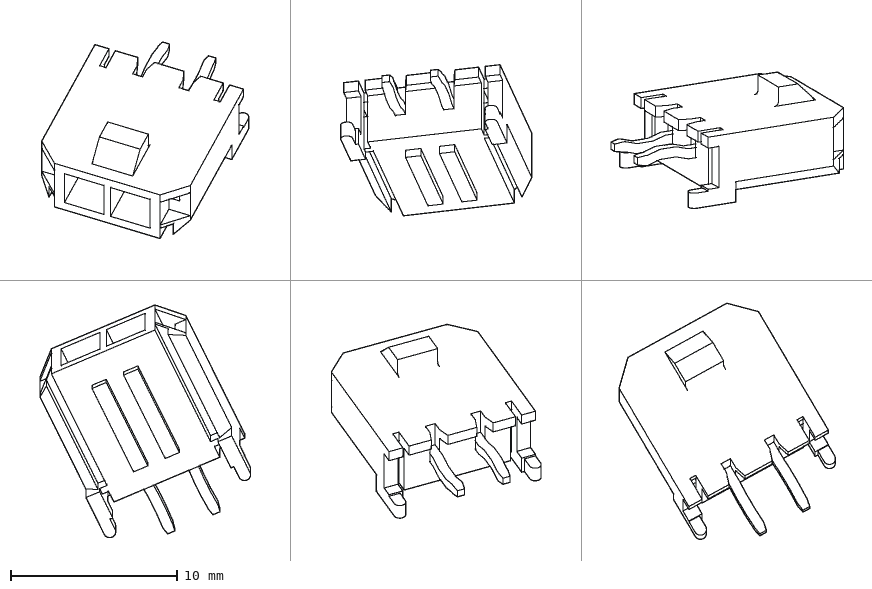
import cadquery as cq
import math


WIDTH = 9.65
HALF_WIDTH = WIDTH / 2
FLOOR_Z = 0.5
TOP_Z = 4.38
REAR_Y = 9.18
FRONT_CHAMFER = 1.4
FACE_HALF_WIDTH = HALF_WIDTH - FRONT_CHAMFER
LIP_END_Y = 9.9
LIP_THICKNESS = 0.69
LIP_Z = TOP_Z - LIP_THICKNESS

SIDE_CHAMFER = 0.8
CHANNEL_OUTER_X = HALF_WIDTH - SIDE_CHAMFER
CHANNEL_TOP_Z = 1.43

POCKET_BOTTOM_Z = 1.7
POCKET_TOP_Z = 3.73
WINDOW_BOTTOM_Z = 2.72
WINDOW_OUTER_X = 4.12

SLOT_INNER_X = 3.5
SLOT_OUTER_X = 3.91
SLOT_START_Y = 8.41

LEG_START_Y = 8.02
LEG_TOP_Z = 1.09
PEG_WIDTH = 0.73
PEG_TOP_Z = 0.97
PEG_END_Y = 11.03

RAIL_WIDTH = 0.94
RAIL_X = 1.05
RAIL_START_Y = 1.7
RAIL_END_Y = 7.69

LATCH_WIDTH = 2.64
LATCH_FRONT_Y = 0.81
LATCH_REAR_Y = 3.32
LATCH_HEIGHT = 1.19
LATCH_FILLET = 0.25

PITCH = 3.0
TERMINAL_XS = (-PITCH / 2, PITCH / 2)
TERMINAL_Z = (FLOOR_Z + TOP_Z) / 2
TERMINAL_SIZE = 0.64
CAVITY_SIZE = 2.56
CAVITY_DEPTH = 7.45
TERMINAL_FRONT_Y = 2.49
TERMINAL_END_Y = 13.08
TIP_SIZE = 0.47
TIP_LENGTH = 0.48

BEND_HEIGHT = 0.25
BEND_START_Y = 9.68
CREST_START_Y = 10.52
CREST_END_Y = 11.6
BEND_END_Y = 12.43

TERMINAL_SLOT_START_Y = 8.54
SLOT_MOUTH_WIDTH = 1.09


def block(x_range, y_range, z_range):
    """Box spanning the given ranges along X, Y and Z."""
    size = [end - start for start, end in (x_range, y_range, z_range)]
    corner = (x_range[0], y_range[0], z_range[0])
    return cq.Workplane("XY").box(*size, centered=False).translate(corner)


def both_sides(shape):
    """The shape on the +X side together with its mirror image on the -X side."""
    return shape.union(shape.mirror("YZ"))


def shell():
    """Main block with chamfered front corners and an overhanging top lip at the rear."""
    body = block((-HALF_WIDTH, HALF_WIDTH), (0, REAR_Y), (FLOOR_Z, TOP_Z))
    body = body.faces("<Y").edges("|Z").chamfer(FRONT_CHAMFER)
    lip = block((-HALF_WIDTH, HALF_WIDTH), (REAR_Y, LIP_END_Y), (LIP_Z, TOP_Z))
    return body.union(lip)


def lower_side_chamfer():
    """Wedge that bevels the lower +X edge from the front as far as the leg."""
    return (
        cq.Workplane("XZ")
        .moveTo(HALF_WIDTH, FLOOR_Z)
        .lineTo(HALF_WIDTH - SIDE_CHAMFER, FLOOR_Z)
        .lineTo(HALF_WIDTH, FLOOR_Z + SIDE_CHAMFER)
        .close()
        .extrude(-LEG_START_Y)
    )


def corner_pocket():
    """Pocket in the +X front corner and the window in its back wall."""
    pocket = block(
        (FACE_HALF_WIDTH, HALF_WIDTH),
        (0, FRONT_CHAMFER),
        (POCKET_BOTTOM_Z, POCKET_TOP_Z),
    )
    window = block(
        (FACE_HALF_WIDTH, WINDOW_OUTER_X),
        (FRONT_CHAMFER, SLOT_START_Y),
        (WINDOW_BOTTOM_Z, POCKET_TOP_Z),
    )
    return pocket.union(window)


def lower_channel():
    """Channel inside the +X side chamfer, running from the front to the leg."""
    return block(
        (FACE_HALF_WIDTH, CHANNEL_OUTER_X),
        (0, LEG_START_Y),
        (FLOOR_Z, CHANNEL_TOP_Z),
    )


def rear_slot():
    """Full-height slot beside the +X leg."""
    return block((SLOT_INNER_X, SLOT_OUTER_X), (SLOT_START_Y, LIP_END_Y), (0, TOP_Z))


def leg():
    """+X leg below the housing with its round-ended peg pointing to the rear."""
    foot = block((SLOT_OUTER_X, HALF_WIDTH), (LEG_START_Y, LIP_END_Y), (0, LEG_TOP_Z))
    radius = PEG_WIDTH / 2
    peg_inner_x = HALF_WIDTH - PEG_WIDTH
    peg = (
        cq.Workplane("XY")
        .moveTo(HALF_WIDTH, REAR_Y)
        .lineTo(HALF_WIDTH, PEG_END_Y - radius)
        .threePointArc((HALF_WIDTH - radius, PEG_END_Y), (peg_inner_x, PEG_END_Y - radius))
        .lineTo(peg_inner_x, REAR_Y)
        .close()
        .extrude(PEG_TOP_Z)
    )
    return foot.union(peg)


def rail():
    """Stand-off rail under the +X half of the floor."""
    half = RAIL_WIDTH / 2
    return block((RAIL_X - half, RAIL_X + half), (RAIL_START_Y, RAIL_END_Y), (0, FLOOR_Z))


def latch():
    """45 degree latch ramp with a concave fillet at the foot of its rear wall."""
    latch_top_z = TOP_Z + LATCH_HEIGHT
    diagonal = LATCH_FILLET * (1 - math.sqrt(0.5))
    return (
        cq.Workplane("YZ", origin=(-LATCH_WIDTH / 2, 0, 0))
        .moveTo(LATCH_FRONT_Y, TOP_Z)
        .lineTo(LATCH_FRONT_Y + LATCH_HEIGHT, latch_top_z)
        .lineTo(LATCH_REAR_Y, latch_top_z)
        .lineTo(LATCH_REAR_Y, TOP_Z + LATCH_FILLET)
        .threePointArc(
            (LATCH_REAR_Y + diagonal, TOP_Z + diagonal),
            (LATCH_REAR_Y + LATCH_FILLET, TOP_Z),
        )
        .close()
        .extrude(LATCH_WIDTH)
    )


def terminal_cavity(x):
    """Square cavity, terminal hole and flared open-topped rear slot around one terminal."""
    half_cavity = CAVITY_SIZE / 2
    half = TERMINAL_SIZE / 2
    half_mouth = SLOT_MOUTH_WIDTH / 2
    slot_bottom_z = TERMINAL_Z - half
    cavity = block(
        (x - half_cavity, x + half_cavity),
        (0, CAVITY_DEPTH),
        (TERMINAL_Z - half_cavity, TERMINAL_Z + half_cavity),
    )
    hole = block(
        (x - half, x + half),
        (CAVITY_DEPTH, REAR_Y),
        (slot_bottom_z, TERMINAL_Z + half),
    )
    slot = (
        cq.Workplane("XY", origin=(x, 0, slot_bottom_z))
        .moveTo(-half, TERMINAL_SLOT_START_Y)
        .lineTo(-half, REAR_Y)
        .lineTo(-half_mouth, LIP_END_Y)
        .lineTo(half_mouth, LIP_END_Y)
        .lineTo(half, REAR_Y)
        .lineTo(half, TERMINAL_SLOT_START_Y)
        .close()
        .extrude(TOP_Z - slot_bottom_z)
    )
    return cavity.union(hole).union(slot)


def make_housing():
    body = shell()
    body = body.cut(both_sides(lower_side_chamfer()))
    body = body.cut(both_sides(corner_pocket()))
    body = body.cut(both_sides(lower_channel()))
    body = body.union(both_sides(leg()))
    body = body.cut(both_sides(rear_slot()))
    body = body.union(both_sides(rail()))
    body = body.union(latch())
    for x in TERMINAL_XS:
        body = body.cut(terminal_cavity(x))
    return body


def terminal_tip(shoulder_y, direction):
    """Tapered square tip starting at shoulder_y and pointing along +Y (1) or -Y (-1)."""
    return (
        cq.Workplane(cq.Plane((0, shoulder_y, TERMINAL_Z), (1, 0, 0), (0, direction, 0)))
        .rect(TERMINAL_SIZE, TERMINAL_SIZE)
        .workplane(offset=TIP_LENGTH)
        .rect(TIP_SIZE, TIP_SIZE)
        .loft(ruled=True)
    )


def make_terminal(x, bend):
    """Square terminal at x whose tail is offset upward (bend > 0) or downward (bend < 0)."""
    front_y = TERMINAL_FRONT_Y + TIP_LENGTH
    rear_y = TERMINAL_END_Y - TIP_LENGTH
    centre_line = [
        (front_y, 0),
        (BEND_START_Y, 0),
        (CREST_START_Y, bend),
        (CREST_END_Y, bend),
        (BEND_END_Y, 0),
        (rear_y, 0),
    ]
    half = TERMINAL_SIZE / 2
    upper = [(y, TERMINAL_Z + rise + half) for y, rise in centre_line]
    lower = [(y, TERMINAL_Z + rise - half) for y, rise in centre_line]
    bar = (
        cq.Workplane("YZ", origin=(-half, 0, 0))
        .polyline(upper + lower[::-1])
        .close()
        .extrude(TERMINAL_SIZE)
    )
    terminal = bar.union(terminal_tip(front_y, -1)).union(terminal_tip(rear_y, 1))
    return terminal.translate((x, 0, 0))


housing = make_housing()
terminals = [
    make_terminal(x, bend)
    for x, bend in zip(TERMINAL_XS, (BEND_HEIGHT, -BEND_HEIGHT))
]

result = cq.Compound.makeCompound([body.solids().val() for body in (housing, *terminals)])